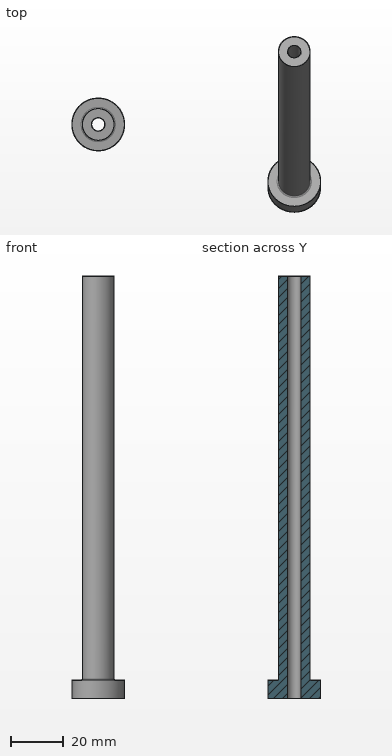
import cadquery as cq

total_length = 160.0
head_diameter = 20.0
head_height = 7.0
shaft_diameter = 12.0
bore_diameter = 5.0
root_fillet = 0.5

shaft_radius = shaft_diameter / 2
head_radius = head_diameter / 2
bore_radius = bore_diameter / 2

half_section = (
    cq.Workplane("XZ")
    .moveTo(bore_radius, 0)
    .lineTo(head_radius, 0)
    .lineTo(head_radius, head_height)
    .lineTo(shaft_radius + root_fillet, head_height)
    .radiusArc((shaft_radius, head_height + root_fillet), root_fillet)
    .lineTo(shaft_radius, total_length)
    .lineTo(bore_radius, total_length)
    .close()
)

result = half_section.revolve(360, (0, 0, 0), (0, 1, 0))